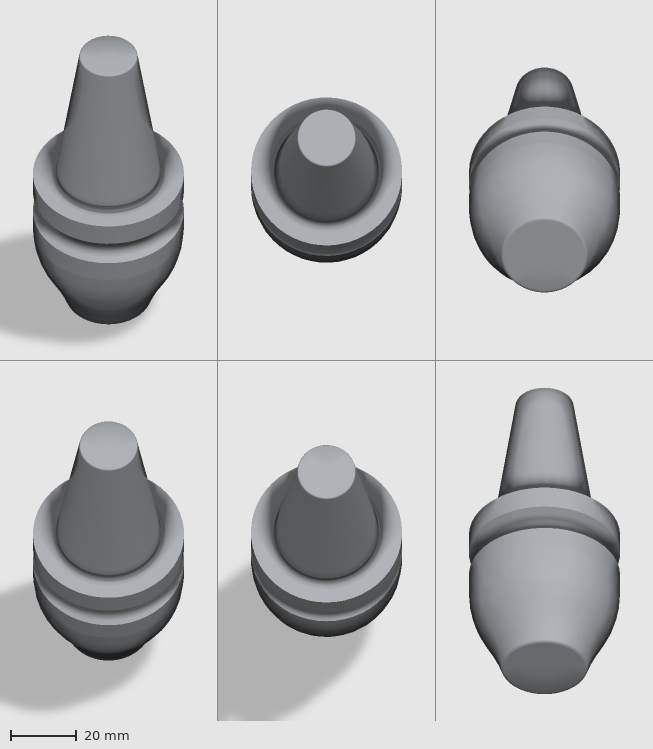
import cadquery as cq
import math


GAUGE_RADIUS = 31.75 / 2
TAPER_LENGTH = 48.4
TAPER_RATIO = 7 / 24
SHANK_END_RADIUS = GAUGE_RADIUS - TAPER_LENGTH * TAPER_RATIO / 2
SHANK_END_FILLET = 0.5

FLANGE_RADIUS = 23.0
FLANGE_TOP_Z = -2.0
GROOVE_CENTER_Z = -13.55
GROOVE_FLOOR_RADIUS = 19.0
GROOVE_MOUTH_WIDTH = 8.3
GROOVE_FLANK_ANGLE = 30.0
GROOVE_FILLET = 1.2

UNDERCUT_RADIUS = 15.6
UNDERCUT_OUTER_RADIUS = 17.4
UNDERCUT_DEPTH = 0.4
UNDERCUT_FILLET = 0.8
UNDERCUT_START_Z = -0.4
UNDERCUT_RAMP_LENGTH = 0.5

SHOULDER_START_Z = -24.8
SHOULDER_END_Z = -40.4
SHOULDER_END_RADIUS = 18.9
NOSE_Z = -54.0
NOSE_RADIUS = 13.0
NOSE_FILLET = 1.0


def make_shank_and_undercut():
    """Tapered shank, its short land and the filleted undercut sunk into the flange face."""
    floor_z = FLANGE_TOP_Z - UNDERCUT_DEPTH
    fillet_end_radius = UNDERCUT_RADIUS + UNDERCUT_FILLET
    fillet_top_z = floor_z + UNDERCUT_FILLET
    fillet_sag = UNDERCUT_FILLET * (1 - math.sqrt(0.5))
    return (
        cq.Workplane("XZ")
        .moveTo(0, TAPER_LENGTH)
        .lineTo(SHANK_END_RADIUS, TAPER_LENGTH)
        .lineTo(GAUGE_RADIUS, 0)
        .lineTo(GAUGE_RADIUS, UNDERCUT_START_Z)
        .lineTo(UNDERCUT_RADIUS, UNDERCUT_START_Z - UNDERCUT_RAMP_LENGTH)
        .lineTo(UNDERCUT_RADIUS, fillet_top_z)
        .threePointArc(
            (UNDERCUT_RADIUS + fillet_sag, floor_z + fillet_sag),
            (fillet_end_radius, floor_z),
        )
        .lineTo(UNDERCUT_OUTER_RADIUS, FLANGE_TOP_Z)
    )


def add_flange_and_body(profile):
    """Continue the half profile down the flange rim and the curved body, and close it."""
    return (
        profile
        .lineTo(FLANGE_RADIUS, FLANGE_TOP_Z)
        .lineTo(FLANGE_RADIUS, SHOULDER_START_Z)
        .tangentArcPoint((SHOULDER_END_RADIUS, SHOULDER_END_Z), relative=False)
        .tangentArcPoint((NOSE_RADIUS, NOSE_Z), relative=False)
        .lineTo(0, NOSE_Z)
        .close()
    )


def revolve_about_z(profile):
    return profile.revolve(360, (0, 0), (0, 1))


def make_groove_cutter():
    """Ring that cuts the V-groove, with its two floor edges rounded."""
    mouth_half = GROOVE_MOUTH_WIDTH / 2
    flank_height = (FLANGE_RADIUS - GROOVE_FLOOR_RADIUS) * math.tan(math.radians(GROOVE_FLANK_ANGLE))
    floor_half = mouth_half - flank_height
    ring = revolve_about_z(
        cq.Workplane("XZ")
        .moveTo(FLANGE_RADIUS, GROOVE_CENTER_Z + mouth_half)
        .lineTo(GROOVE_FLOOR_RADIUS, GROOVE_CENTER_Z + floor_half)
        .lineTo(GROOVE_FLOOR_RADIUS, GROOVE_CENTER_Z - floor_half)
        .lineTo(FLANGE_RADIUS, GROOVE_CENTER_Z - mouth_half)
        .close()
    )
    floor_edges = cq.selectors.RadiusNthSelector(0)
    return ring.edges("%CIRCLE").edges(floor_edges).fillet(GROOVE_FILLET)


holder = revolve_about_z(add_flange_and_body(make_shank_and_undercut()))
holder = holder.cut(make_groove_cutter())
holder = holder.faces(">Z").edges().fillet(SHANK_END_FILLET)
result = holder.faces("<Z").edges().fillet(NOSE_FILLET)